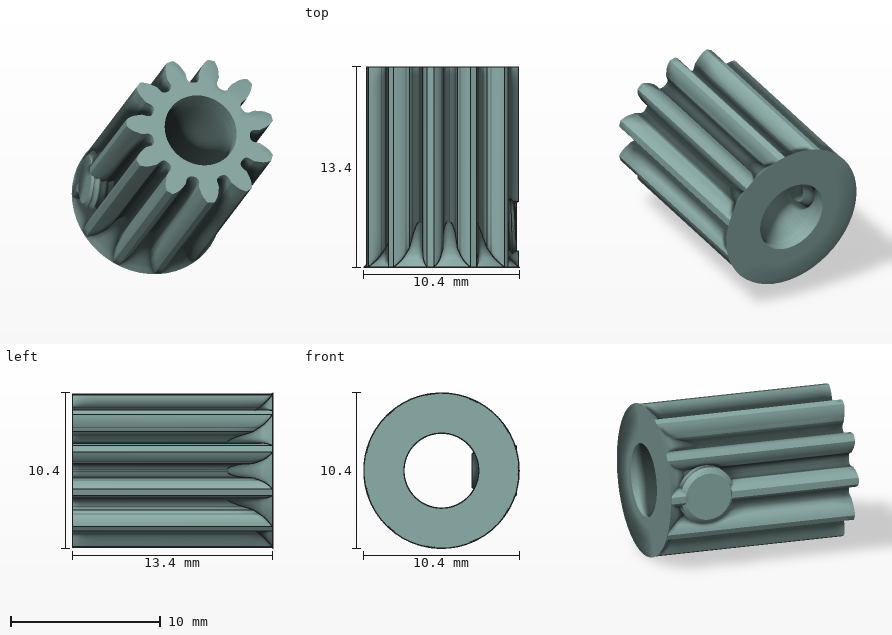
import cadquery as cq
import math

TEETH = 11
LENGTH = 13.4
FRONT_Y = -LENGTH / 2
RIM_RADIUS = 10.4 / 2
BORE_RADIUS = 5.0 / 2

PITCH_ANGLE = 360.0 / TEETH
TIP_RADIUS = 5.16
TIP_HALF_ANGLE = 2.55
FLANK_RADIUS = 4.81
FLANK_HALF_ANGLE = 5.8
PITCH_RADIUS = 4.4
PITCH_HALF_ANGLE = PITCH_ANGLE / 4
BASE_RADIUS = 4.14
BASE_HALF_ANGLE = 9.7
ROOT_RADIUS = 3.42
ROOT_LAND_HALF_ANGLE = 1.1

RUNOUT_LENGTH = 3.04
RUNOUT_ARC_RADIUS = 6.03

SCREW_Y = FRONT_Y + 2.75
SCREW_CORE_RADIUS = 3.34 / 2
SCREW_INNER_X = 2.02
SCREW_OUTER_X = 5.02
SCREW_LENGTH = SCREW_OUTER_X - SCREW_INNER_X
SCREW_POINT_RADIUS = 1.1
SCREW_OUTER_FACE_RADIUS = 1.61
CUP_RADIUS = 1.05
CUP_DEPTH = 0.58

THREAD_PITCH = 0.5
THREAD_FOOT_WIDTH = 0.44
THREAD_CREST_RADIUS = 3.91 / 2
THREAD_TURNS = 7
THREAD_START_X = 1.97
THREAD_OVERLAP = 0.01


def polar(radius, angle):
    """Point (x, z) at an angle in degrees from +X towards +Z."""
    turn = math.radians(angle)
    return (radius * math.cos(turn), radius * math.sin(turn))


def toothed_outline():
    """Closed outline of all the teeth at the front face, with one tooth centred on +X."""
    root_edge_angle = PITCH_ANGLE / 2 - ROOT_LAND_HALF_ANGLE
    fillet_angle = root_edge_angle - BASE_HALF_ANGLE
    sine = math.sin(math.radians(fillet_angle))
    fillet_radius = ROOT_RADIUS * sine / (1 - sine)
    centre_radius = ROOT_RADIUS + fillet_radius
    foot_radius = centre_radius * math.cos(math.radians(fillet_angle))

    inward, sideways = polar(fillet_radius, (90 - fillet_angle) / 2)
    fillet_middle_radius = math.hypot(centre_radius - inward, sideways)
    fillet_middle_angle = root_edge_angle - math.degrees(math.atan2(sideways, centre_radius - inward))

    outline = cq.Workplane("XZ", origin=(0, FRONT_Y, 0)).moveTo(*polar(ROOT_RADIUS, -root_edge_angle))
    for tooth in range(TEETH):
        middle = tooth * PITCH_ANGLE
        outline = (
            outline
            .threePointArc(
                polar(fillet_middle_radius, middle - fillet_middle_angle),
                polar(foot_radius, middle - BASE_HALF_ANGLE),
            )
            .lineTo(*polar(BASE_RADIUS, middle - BASE_HALF_ANGLE))
            .lineTo(*polar(PITCH_RADIUS, middle - PITCH_HALF_ANGLE))
            .threePointArc(
                polar(FLANK_RADIUS, middle - FLANK_HALF_ANGLE),
                polar(TIP_RADIUS, middle - TIP_HALF_ANGLE),
            )
            .threePointArc(polar(TIP_RADIUS, middle), polar(TIP_RADIUS, middle + TIP_HALF_ANGLE))
            .threePointArc(
                polar(FLANK_RADIUS, middle + FLANK_HALF_ANGLE),
                polar(PITCH_RADIUS, middle + PITCH_HALF_ANGLE),
            )
            .lineTo(*polar(BASE_RADIUS, middle + BASE_HALF_ANGLE))
            .lineTo(*polar(foot_radius, middle + BASE_HALF_ANGLE))
            .threePointArc(
                polar(fillet_middle_radius, middle + fillet_middle_angle),
                polar(ROOT_RADIUS, middle + root_edge_angle),
            )
            .threePointArc(
                polar(ROOT_RADIUS, middle + PITCH_ANGLE / 2),
                polar(ROOT_RADIUS, middle + PITCH_ANGLE - root_edge_angle),
            )
        )
    return outline.close()


def runout_collar():
    """Solid of revolution that closes the tooth gaps at the front face."""
    back_y = FRONT_Y + RUNOUT_LENGTH
    rise = RIM_RADIUS - ROOT_RADIUS
    chord = math.hypot(rise, RUNOUT_LENGTH)
    sag = RUNOUT_ARC_RADIUS - math.sqrt(RUNOUT_ARC_RADIUS**2 - (chord / 2) ** 2)
    arc_middle = (
        (ROOT_RADIUS + RIM_RADIUS) / 2 - sag * RUNOUT_LENGTH / chord,
        (FRONT_Y + back_y) / 2 - sag * rise / chord,
    )
    return (
        cq.Workplane("XY")
        .moveTo(0, FRONT_Y)
        .lineTo(RIM_RADIUS, FRONT_Y)
        .threePointArc(arc_middle, (ROOT_RADIUS, back_y))
        .lineTo(0, back_y)
        .close()
        .revolve(360, (0, 0, 0), (0, 1, 0))
    )


def screw_axis_rod(start_x, length, radius):
    """Plain round rod along the screw axis."""
    return cq.Workplane("YZ", origin=(start_x, SCREW_Y, 0)).circle(radius).extrude(length)


def thread_ridge():
    """Right-hand V-shaped ridge along the screw axis, longer than the screw."""
    depth = THREAD_CREST_RADIUS - SCREW_CORE_RADIUS
    foot_radius = SCREW_CORE_RADIUS - THREAD_OVERLAP
    half_width = THREAD_FOOT_WIDTH / 2 * (depth + THREAD_OVERLAP) / depth
    helix = cq.Wire.makeHelix(THREAD_PITCH, THREAD_TURNS * THREAD_PITCH, SCREW_CORE_RADIUS)
    ridge = (
        cq.Workplane("XZ")
        .polyline([(foot_radius, -half_width), (THREAD_CREST_RADIUS, 0), (foot_radius, half_width)])
        .close()
        .sweep(helix, isFrenet=True)
    )
    return ridge.rotate((0, 0, 0), (0, 1, 0), 90).translate((THREAD_START_X, SCREW_Y, 0))


def screw_envelope():
    """Length of the screw, with 45 degree cones at the point and at the outer end."""
    radius = THREAD_CREST_RADIUS + THREAD_OVERLAP
    return (
        screw_axis_rod(SCREW_INNER_X, SCREW_LENGTH, radius)
        .faces("<X").chamfer(radius - SCREW_POINT_RADIUS)
        .faces(">X").chamfer(radius - SCREW_OUTER_FACE_RADIUS)
    )


def make_set_screw():
    rod_length = (THREAD_TURNS + 2) * THREAD_PITCH
    core = screw_axis_rod(THREAD_START_X - THREAD_PITCH, rod_length, SCREW_CORE_RADIUS)
    threaded_rod = core.union(thread_ridge())
    cup = cq.Solid.makeCone(
        CUP_RADIUS, 0, CUP_DEPTH,
        cq.Vector(SCREW_INNER_X, SCREW_Y, 0), cq.Vector(1, 0, 0),
    )
    return threaded_rod.intersect(screw_envelope()).cut(cq.Workplane(cup))


def make_pinion(screw):
    """Toothed body with its bore, and a tapped hole that the screw fills."""
    bore = cq.Workplane("XZ", origin=(0, FRONT_Y, 0)).circle(BORE_RADIUS).extrude(-LENGTH)
    screw_hole = screw_axis_rod(0, RIM_RADIUS, SCREW_CORE_RADIUS)
    return (
        toothed_outline().extrude(-LENGTH)
        .union(runout_collar())
        .cut(bore)
        .cut(screw_hole)
        .cut(screw)
    )


set_screw = make_set_screw()
pinion = make_pinion(set_screw)
result = cq.Compound.makeCompound([pinion.val(), set_screw.val()])